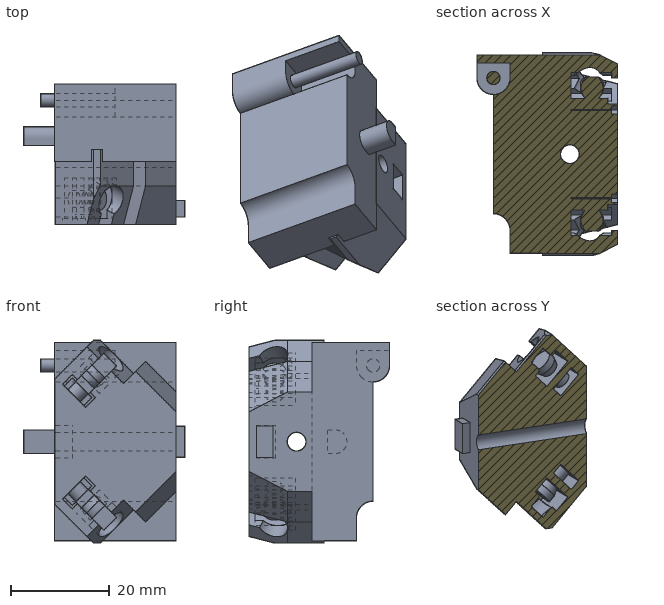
import cadquery as cq
import math


overall_length = 32.6
overall_depth = 28.5
overall_height = 41.09

block_length = 24.65
block_height = 40.2
flange_front_y = 12.77
flange_back_y = 15.23

hinge_y = 25.15
hinge_z = 15.42
hinge_radius = overall_depth - hinge_y
recess_front_y = hinge_y - hinge_radius
recess_top_z = 18.42
knuckle_length = block_length / 2
hinge_pin_radius = 1.35
hinge_pin_reach = 2.8

shaft_radius = 2.4
shaft_center_y = 17.45
shaft_flat_y = 15.97
shaft_reach = 6.2

body_left_x = 0.17
body_half_height = overall_height / 2
nose_u = 21.1
shoulder_u = 24.55
chamfer_w = 8.9
step_w = -1.57
taper_angle = 20.0
taper_depth = 7.85
taper_inset = taper_depth * math.tan(math.radians(taper_angle))

cable_hole_radius = 1.87
cable_hole_y = 9.67
pocket_front_y = 1.5
pocket_size_y = 3.9
pocket_half_height = 3.3
pocket_depth = 3.5
key_front_y = 1.5
key_size_y = 3.42
key_half_height = 3.17
key_reach = overall_length - shaft_reach - block_length

clamp_w = 3.75
slot_width = 3.66
cavity_depth = 9.4
slot_end_u = 19.75
head_width = 6.6
head_inner_u = 9.4
head_outer_u = 12.18
head_ledge = 0.5
ledge_depth = 1.23
neck_depth = 2.0
chamber_inner_u = 13.35
chamber_outer_u = 16.94
counterbore_radius = 3.3
counterbore_y = 4.75

screw_y = 5.2
stem_radius = 1.75
collar_radius = 2.35
cone_small_radius = 1.83
collar_start_u = 14.8
collar_end_u = 16.37

SQRT2 = math.sqrt(2)

DIAGONAL = cq.Plane(origin=(0, 0, 0), xDir=(1, 0, 1), normal=(0, -1, 0))


def box(x0, x1, y0, y1, z0, z1):
    """Box between two opposite corners."""
    return cq.Workplane("XY").box(x1 - x0, y1 - y0, z1 - z0, centered=False).translate((x0, y0, z0))


def x_cylinder(radius, x0, x1, y, z):
    """Cylinder along X."""
    return cq.Workplane(cq.Solid.makeCylinder(radius, x1 - x0, cq.Vector(x0, y, z), cq.Vector(1, 0, 0)))


def diagonal_box(u0, u1, w0, w1, y0, y1):
    """Box aligned with the u and w diagonals, from depth y0 to depth y1."""
    return (
        cq.Workplane(DIAGONAL)
        .workplane(offset=-y1)
        .center((u0 + u1) / 2, (w0 + w1) / 2)
        .rect(u1 - u0, w1 - w0)
        .extrude(y1 - y0)
    )


def diagonal_point(u, w, y):
    """Point in part coordinates from its diagonal coordinates and depth."""
    return cq.Vector((u - w) / SQRT2, y, (u + w) / SQRT2)


def with_mirror(shape):
    """The shape together with its mirror image below mid height."""
    return shape.union(shape.mirror("XY"))


def make_block():
    """Flange and rear block, with the hinge recess above and its round clearance below."""
    half = block_height / 2
    block = (
        cq.Workplane("YZ")
        .moveTo(flange_front_y, half)
        .lineTo(overall_depth, half)
        .lineTo(overall_depth, hinge_z)
        .radiusArc((hinge_y, hinge_z - hinge_radius), hinge_radius)
        .lineTo(hinge_y, hinge_radius - hinge_z)
        .radiusArc((recess_front_y, -hinge_z), -hinge_radius)
        .lineTo(recess_front_y, -half)
        .lineTo(flange_front_y, -half)
        .close()
        .extrude(block_length)
    )
    recess_length = block_length - knuckle_length
    recess = box(0, recess_length, recess_front_y, overall_depth, hinge_z, recess_top_z)
    round_end = x_cylinder(hinge_radius, 0, recess_length, hinge_y, hinge_z)
    ceiling = box(0, recess_length, recess_front_y, overall_depth, recess_top_z, block_height / 2)
    recess = recess.union(round_end.cut(ceiling))
    pin = x_cylinder(hinge_pin_radius, -hinge_pin_reach, block_length, hinge_y, hinge_z)
    return block.cut(recess).union(pin)


def make_shaft():
    """Drive shaft with one flat side."""
    shaft = x_cylinder(shaft_radius, -shaft_reach, 0, shaft_center_y, 0)
    shaft = shaft.union(
        box(-shaft_reach, 0, shaft_flat_y, shaft_center_y, -shaft_radius, shaft_radius)
    )
    front_side = box(-shaft_reach, 0, 0, shaft_flat_y, -shaft_radius, shaft_radius)
    return shaft.cut(front_side)


def taper_wedge(face_u, w0, w1):
    """Wedge that leans a diagonal face inward over the front part of its depth."""
    start = diagonal_point(0, w1, 0).toTuple()
    section = cq.Plane(origin=start, xDir=(1, 0, 1), normal=(-1, 0, 1))
    return (
        cq.Workplane(section)
        .polyline([(face_u, taper_depth), (face_u - taper_inset, 0), (face_u, 0)])
        .close()
        .extrude(w0 - w1)
    )


def make_body():
    """Front body with two noses, a shoulder beside each and tapered outer faces."""
    upper = [
        (body_left_x, body_left_x + chamfer_w * SQRT2),
        (body_half_height - chamfer_w * SQRT2, body_half_height),
        (nose_u * SQRT2 - body_half_height, body_half_height),
        ((nose_u - step_w) / SQRT2, (nose_u + step_w) / SQRT2),
        ((shoulder_u - step_w) / SQRT2, (shoulder_u + step_w) / SQRT2),
        (block_length, shoulder_u * SQRT2 - block_length),
    ]
    lower = [(x, -z) for x, z in reversed(upper)]
    body = cq.Workplane("XZ").polyline(upper + lower).close().extrude(-flange_back_y)
    shoulder_w = shoulder_u - taper_inset - block_length * SQRT2
    tapers = taper_wedge(nose_u, step_w, chamfer_w).union(taper_wedge(shoulder_u, shoulder_w, step_w))
    return body.cut(with_mirror(tapers))


def clamp_box(u0, u1, width, y0, y1):
    """Box centred on the clamp screw axis."""
    return diagonal_box(u0, u1, clamp_w - width / 2, clamp_w + width / 2, y0, y1)


def make_clamp_counterbore():
    """Round opening square to the tapered nose face, long enough to reach the chamber."""
    lean = math.radians(taper_angle)
    outward = cq.Vector(math.cos(lean) / SQRT2, -math.sin(lean), math.cos(lean) / SQRT2)
    mouth_u = nose_u - (taper_depth - counterbore_y) * math.tan(lean)
    mouth = diagonal_point(mouth_u, clamp_w, counterbore_y)
    length = 2 * counterbore_radius
    start = mouth - outward * length
    drill = cq.Workplane(cq.Solid.makeCylinder(counterbore_radius, 2 * length, start, outward))
    beyond_chamber = clamp_box(
        chamber_outer_u, nose_u + length, 2 * head_width, -length, flange_front_y
    )
    return drill.intersect(beyond_chamber)


def make_clamp_cavity():
    """Slot, stepped head pocket, hidden chamber and inclined counterbore of the upper clamp."""
    slot = clamp_box(chamber_inner_u, slot_end_u, slot_width, 0, cavity_depth)
    neck = clamp_box(head_inner_u, chamber_inner_u, slot_width, 0, neck_depth)
    head = clamp_box(head_inner_u, head_outer_u, head_width, 0, ledge_depth)
    head_floor = clamp_box(
        head_inner_u, head_outer_u - head_ledge, head_width - 2 * head_ledge, 0, cavity_depth
    )
    chamber = clamp_box(chamber_inner_u, chamber_outer_u, head_width, ledge_depth, cavity_depth)
    cavity = slot.union(neck).union(head).union(head_floor).union(chamber)
    return cavity.union(make_clamp_counterbore())


def make_clamp_screw():
    """Round stem in the head pocket, then a cone and a collar in the chamber."""
    along = cq.Vector(1, 0, 1)

    def axis_point(u):
        return diagonal_point(u, clamp_w, screw_y)

    stem_length = chamber_inner_u - head_inner_u
    stem = cq.Solid.makeCylinder(stem_radius, stem_length, axis_point(head_inner_u), along)
    cone_length = collar_start_u - chamber_inner_u
    cone = cq.Solid.makeCone(
        cone_small_radius, collar_radius, cone_length, axis_point(chamber_inner_u), along
    )
    collar_length = collar_end_u - collar_start_u
    collar = cq.Solid.makeCylinder(collar_radius, collar_length, axis_point(collar_start_u), along)
    return cq.Workplane(stem).union(cq.Workplane(cone)).union(cq.Workplane(collar))


def make_pocket():
    """Blind rectangular pocket in the left side."""
    return box(
        body_left_x,
        body_left_x + pocket_depth,
        pocket_front_y,
        pocket_front_y + pocket_size_y,
        -pocket_half_height,
        pocket_half_height,
    )


def make_key():
    """Rectangular key standing out of the right side."""
    return box(
        block_length,
        block_length + key_reach,
        key_front_y,
        key_front_y + key_size_y,
        -key_half_height,
        key_half_height,
    )


body = make_body()
body = body.cut(with_mirror(make_clamp_cavity()))
body = body.union(with_mirror(make_clamp_screw()))
body = body.cut(make_pocket()).union(make_key())
body = body.cut(x_cylinder(cable_hole_radius, 0, block_length, cable_hole_y, 0))

result = body.union(make_block()).union(make_shaft())